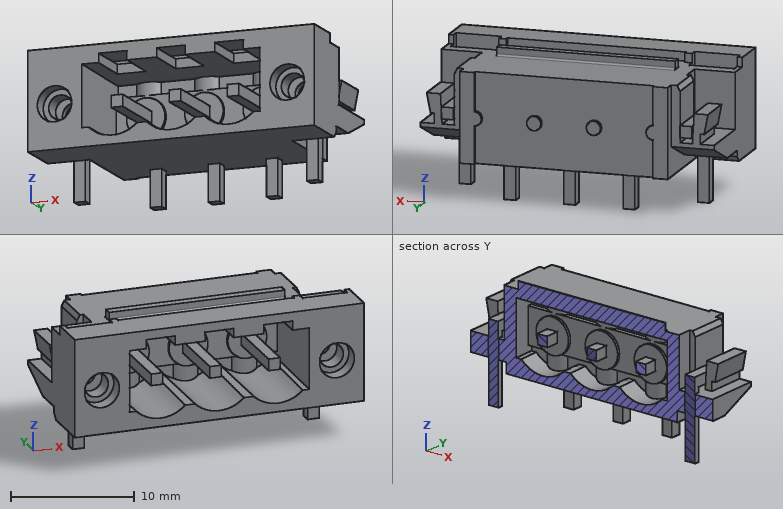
import cadquery as cq
import math


LENGTH = 25.05
DEPTH = 12.0
HEIGHT = 7.69
FLANGE_HEIGHT = 8.46
FLANGE_DEPTH = 3.53
FLANGE_MIDDLE_DEPTH = 3.15
FRONT_BLOCK_DEPTH = 5.45
BODY_WIDTH = 17.73
MIDDLE_WIDTH = 15.22

PITCH = 5.08
CONTACT_COUNT = 3
CONTACT_XS = [(i - (CONTACT_COUNT - 1) / 2) * PITCH for i in range(CONTACT_COUNT)]
ANCHOR_X = 2 * PITCH
AXIS_Z = 3.8
PIN_SIZE = 1.0
LEG_LENGTH = 3.15
CONTACT_TIP_Y = 0.9
CONTACT_REAR_Y = 10.45

POCKET_WIDTH = 15.55
POCKET_TOP_Z = 6.9
POCKET_BOTTOM_Z = 1.6
POCKET_DRAFT = 0.08
POCKET_FLOOR_Y = 7.5
BAND_BOTTOM_Z = 2.3
BAND_TOP_Z = 5.73
SCALLOP_RADIUS = 3.05
CHANNEL_DEPTH = 0.45
PILLAR_RADIUS = 1.45
PILLAR_BULGE = 0.02
BOSS_RADIUS = 1.68
BOSS_HEIGHT = 0.25
KEYWAY_WIDTH = 2.48
KEYWAY_DEPTH = 4.13

COUNTERBORE_RADIUS = 1.5
COUNTERBORE_DEPTH = 1.3
SCREW_HOLE_RADIUS = 1.03
SCREW_HOLE_DEPTH = 5.0
NUT_SLOT_WIDTH = 3.85
NUT_SLOT_FRONT_Y = 2.83
NUT_SLOT_REAR_Y = 4.3
NUT_SLOT_BOTTOM_Z = 1.5

ARM_REAR_Y = 11.02
ARM_TOP_Z = 2.9
ARM_REAR_BOTTOM_Z = 2.53
ARM_SLOPE_END_Y = 7.5
ARM_BOTTOM_Z = 1.0
ARM_STEP_Y = 4.9
ARM_STEP_Z = 0.5
CLIP_FRONT_Y = 7.35
CLIP_TOP_Z = 5.43
HOOK_BOTTOM_Z = 3.75
CLIP_OUTER_X = 12.0
HOOK_TAPER_X = 11.67
CLIP_POST_X = 11.35
CLIP_INNER_TOP_X = 10.82
CLIP_INNER_BASE_X = ANCHOR_X + PIN_SIZE / 2
WAIST_WIDTH = 18.13
CHEEK_TOP_X = 9.36
CHEEK_X = 9.62
CHEEK_CHAMFER_Z = 7.2

RIDGE_Y = 5.65
RIDGE_WIDTH = 0.78
RIDGE_HEIGHT = 0.7
RIDGE_FILLET = 0.18

REAR_RECESS_DEPTH = 0.3
REAR_STUD_RADIUS = 0.6

ANCHOR_FRONT_Y = 5.5
ANCHOR_REAR_Y = 11.2
ANCHOR_TOP_Z = 4.38


def box(x0, x1, y0, y1, z0, z1):
    """Box between two opposite corners."""
    return cq.Workplane("XY").box(x1 - x0, y1 - y0, z1 - z0, centered=False).translate((x0, y0, z0))


def wide_box(width, y0, y1, z0, z1):
    """Box centred on X."""
    return box(-width / 2, width / 2, y0, y1, z0, z1)


def rod_along_y(x, z, radius, y0, y1):
    """Round rod that runs along Y."""
    return cq.Workplane("XZ", origin=(x, y0, z)).circle(radius).extrude(y0 - y1)


def profile_along_x(points, x0, x1):
    """Outline in (y, z), carried from x0 to x1."""
    return cq.Workplane("YZ", origin=(x0, 0, 0)).polyline(points).close().extrude(x1 - x0)


def profile_along_y(points, y0, y1):
    """Outline in (x, z), carried from y0 to y1."""
    return cq.Workplane("XZ", origin=(0, y0, 0)).polyline(points).close().extrude(y0 - y1)


def with_mirror(right):
    """The part on the +X side together with its mirror image."""
    return right.union(right.mirror("YZ"))


def body_shell():
    """Front block, flange and main body, still solid."""
    block = wide_box(LENGTH, 0, FRONT_BLOCK_DEPTH, 0, HEIGHT)
    flange = wide_box(LENGTH, 0, FLANGE_DEPTH, 0, FLANGE_HEIGHT)
    flange_relief = wide_box(MIDDLE_WIDTH, FLANGE_MIDDLE_DEPTH, FLANGE_DEPTH, HEIGHT, FLANGE_HEIGHT)
    body = wide_box(BODY_WIDTH, FRONT_BLOCK_DEPTH, DEPTH, 0, HEIGHT)
    waist = wide_box(WAIST_WIDTH, FRONT_BLOCK_DEPTH, CLIP_FRONT_Y, ARM_TOP_Z, HEIGHT)
    return block.union(flange.cut(flange_relief)).union(body).union(waist)


def side_arms():
    """Shelves behind the front block that carry the anchors and clips."""
    outline = [
        (FRONT_BLOCK_DEPTH, ARM_TOP_Z),
        (ARM_REAR_Y, ARM_TOP_Z),
        (ARM_REAR_Y, ARM_REAR_BOTTOM_Z),
        (ARM_SLOPE_END_Y, ARM_BOTTOM_Z),
        (FRONT_BLOCK_DEPTH, ARM_BOTTOM_Z),
    ]
    return with_mirror(profile_along_x(outline, 0, LENGTH / 2))


def block_underside_cuts():
    """Step and 45 degree slope under the rear of the front block, outside the main body."""
    outline = [
        (FRONT_BLOCK_DEPTH, 0),
        (ARM_STEP_Y - ARM_STEP_Z, 0),
        (ARM_STEP_Y, ARM_STEP_Z),
        (ARM_STEP_Y, ARM_BOTTOM_Z),
        (FRONT_BLOCK_DEPTH, ARM_BOTTOM_Z),
    ]
    return with_mirror(profile_along_x(outline, BODY_WIDTH / 2, LENGTH / 2))


def clips():
    """Hooked prongs on the arms that stand outside the anchors."""
    outline = [
        (CLIP_INNER_TOP_X, CLIP_TOP_Z),
        (CLIP_OUTER_X, CLIP_TOP_Z),
        (HOOK_TAPER_X, HOOK_BOTTOM_Z),
        (CLIP_POST_X, HOOK_BOTTOM_Z),
        (CLIP_POST_X, ARM_TOP_Z),
        (CLIP_INNER_BASE_X, ARM_TOP_Z),
    ]
    return with_mirror(profile_along_y(outline, CLIP_FRONT_Y, ARM_REAR_Y))


def cheeks():
    """Wider chamfered stretch of the main body that stands inside the anchors."""
    outline = [
        (0, ARM_TOP_Z),
        (0, HEIGHT),
        (CHEEK_TOP_X, HEIGHT),
        (CHEEK_X, CHEEK_CHAMFER_Z),
        (CHEEK_X, ARM_TOP_Z),
    ]
    return with_mirror(profile_along_y(outline, CLIP_FRONT_Y, ARM_REAR_Y))


def ridge():
    """Rib along the top with concave fillets at its foot."""
    half = RIDGE_WIDTH / 2
    foot = half + RIDGE_FILLET
    sag = RIDGE_FILLET * (1 - math.sqrt(0.5))
    profile = (
        cq.Workplane("YZ", origin=(-MIDDLE_WIDTH / 2, RIDGE_Y, HEIGHT))
        .moveTo(-foot, 0)
        .threePointArc((-half - sag, sag), (-half, RIDGE_FILLET))
        .lineTo(-half, RIDGE_HEIGHT)
        .lineTo(half, RIDGE_HEIGHT)
        .lineTo(half, RIDGE_FILLET)
        .threePointArc((half + sag, sag), (foot, 0))
        .close()
    )
    return profile.extrude(MIDDLE_WIDTH)


def scallop(x, rear_y):
    """Lower half of a round groove that widens the pocket below one contact."""
    groove = rod_along_y(x, AXIS_Z, SCALLOP_RADIUS, 0, rear_y)
    return groove.intersect(wide_box(POCKET_WIDTH, 0, rear_y, 0, AXIS_Z))


def plug_pocket():
    """Space for the plug: drafted box, scallops, floor channels and roof keyways."""
    channel_y = POCKET_FLOOR_Y + CHANNEL_DEPTH
    pillar_y = POCKET_FLOOR_Y - PILLAR_BULGE + PILLAR_RADIUS
    outline = [
        (0, POCKET_BOTTOM_Z),
        (0, POCKET_TOP_Z),
        (POCKET_FLOOR_Y, POCKET_TOP_Z - POCKET_DRAFT),
        (channel_y, POCKET_TOP_Z - POCKET_DRAFT),
        (channel_y, POCKET_BOTTOM_Z + POCKET_DRAFT),
        (POCKET_FLOOR_Y, POCKET_BOTTOM_Z + POCKET_DRAFT),
    ]
    pocket = profile_along_x(outline, -POCKET_WIDTH / 2, POCKET_WIDTH / 2)
    for x in CONTACT_XS:
        pocket = pocket.union(scallop(x, channel_y))
    pocket = pocket.cut(wide_box(POCKET_WIDTH, POCKET_FLOOR_Y, channel_y, BAND_BOTTOM_Z, BAND_TOP_Z))
    for x in CONTACT_XS:
        pillar = cq.Workplane("XY", origin=(x, pillar_y, 0)).circle(PILLAR_RADIUS).extrude(HEIGHT)
        boss = rod_along_y(x, AXIS_Z, BOSS_RADIUS, POCKET_FLOOR_Y - BOSS_HEIGHT, channel_y)
        pocket = pocket.cut(pillar).cut(boss)
    for x in CONTACT_XS:
        half = KEYWAY_WIDTH / 2
        pocket = pocket.union(box(x - half, x + half, 0, KEYWAY_DEPTH, AXIS_Z, HEIGHT))
    return pocket


def screw_mounts():
    """Counterbored screw holes with the nut slots that cross them."""
    counterbore = rod_along_y(ANCHOR_X, AXIS_Z, COUNTERBORE_RADIUS, 0, COUNTERBORE_DEPTH)
    hole = rod_along_y(ANCHOR_X, AXIS_Z, SCREW_HOLE_RADIUS, 0, SCREW_HOLE_DEPTH)
    slot = box(
        ANCHOR_X - NUT_SLOT_WIDTH / 2, ANCHOR_X + NUT_SLOT_WIDTH / 2,
        NUT_SLOT_FRONT_Y, NUT_SLOT_REAR_Y, NUT_SLOT_BOTTOM_Z, FLANGE_HEIGHT,
    )
    return with_mirror(counterbore.union(hole).union(slot))


def rear_studs():
    """Round studs in the rear recess, halfway between the contacts and beyond the outer ones."""
    stud_xs = [CONTACT_XS[0] - PITCH / 2] + [x + PITCH / 2 for x in CONTACT_XS]
    studs = cq.Workplane("XY")
    for x in stud_xs:
        studs = studs.union(rod_along_y(x, AXIS_Z, REAR_STUD_RADIUS, DEPTH - 2 * REAR_RECESS_DEPTH, DEPTH))
    return studs


def bent_pin(x, front_y, rear_y, leg_y, top_z):
    """Square wire with an arm along Y and a leg down to the board, whose front face is at leg_y."""
    left = x - PIN_SIZE / 2
    right = x + PIN_SIZE / 2
    arm = box(left, right, front_y, rear_y, top_z - PIN_SIZE, top_z)
    leg = box(left, right, leg_y, leg_y + PIN_SIZE, -LEG_LENGTH, top_z)
    return arm.union(leg)


def contact_pin(x):
    """Contact with its leg at the rear end."""
    return bent_pin(x, CONTACT_TIP_Y, CONTACT_REAR_Y, CONTACT_REAR_Y - PIN_SIZE, AXIS_Z + PIN_SIZE / 2)


def anchor_pin(x):
    """Board anchor with its leg at the front end."""
    return bent_pin(x, ANCHOR_FRONT_Y, ANCHOR_REAR_Y, ANCHOR_FRONT_Y, ANCHOR_TOP_Z)


contacts = [contact_pin(x) for x in CONTACT_XS]
anchors = [anchor_pin(x) for x in (-ANCHOR_X, ANCHOR_X)]

housing = body_shell().cut(block_underside_cuts())
for addition in (side_arms(), clips(), cheeks(), ridge()):
    housing = housing.union(addition)
housing = housing.cut(wide_box(MIDDLE_WIDTH, DEPTH - REAR_RECESS_DEPTH, DEPTH, 0, HEIGHT))
housing = housing.union(rear_studs()).cut(plug_pocket()).cut(screw_mounts())
for pin in contacts + anchors:
    housing = housing.cut(pin)

result = cq.Compound.makeCompound([*housing.solids().vals(), *[pin.val() for pin in contacts + anchors]])